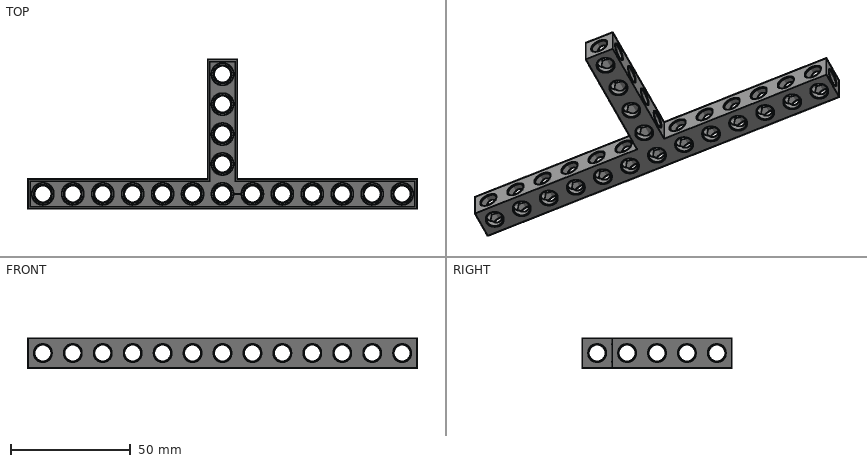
import cadquery as cq

length = 162.5
beam_holes = 13
arm_holes = 4
bore_diameter = 7.0
bore_chamfer = 0.3
rim_width = 1.0
recess_depth = 0.2
collar_diameter = 9.3
rib_width = 0.2

pitch = length / beam_holes
half = pitch / 2
beam_centres = [(column - (beam_holes - 1) / 2) * pitch for column in range(beam_holes)]
arm_centres = [row * pitch for row in range(1, arm_holes + 1)]
arm_end = arm_centres[-1] + half
top_centres = [(x, 0) for x in beam_centres] + [(0, y) for y in arm_centres]
recess_floor = pitch - recess_depth

x_axis = cq.Vector(1, 0, 0)
y_axis = cq.Vector(0, 1, 0)
z_axis = cq.Vector(0, 0, 1)


def tee(height, base, inset=0.0):
    """T-shaped plate standing on Z = base, with its outline moved inward by inset."""
    beam_size = (length - 2 * inset, pitch - 2 * inset)
    arm_size = (pitch - 2 * inset, arm_end + half - 2 * inset)
    arm_middle = (arm_end - half) / 2
    floor = cq.Workplane("XY", origin=(0, 0, base))
    beam = floor.rect(*beam_size).extrude(height)
    arm = floor.center(0, arm_middle).rect(*arm_size).extrude(height)
    return beam.union(arm)


def top_recess():
    """Shallow recess inside the rim, leaving hole collars and the rib that joins two of them."""
    floor = cq.Workplane("XY", origin=(0, 0, recess_floor))
    recess = tee(recess_depth, recess_floor, rim_width)
    collars = floor.pushPoints(top_centres).circle(collar_diameter / 2).extrude(recess_depth)
    rib_length = pitch - bore_diameter
    rib = floor.center(half, 0).rect(rib_length, rib_width).extrude(recess_depth)
    return recess.cut(collars).cut(rib)


def bore(start, direction, depth):
    """Cutter for a through bore of the given depth, with a chamfer at each mouth."""
    radius = bore_diameter / 2
    mouth_radius = radius + bore_chamfer
    end = start + direction * depth
    hole = cq.Solid.makeCylinder(radius, depth, start, direction)
    entry = cq.Solid.makeCone(mouth_radius, radius, bore_chamfer, start, direction)
    exit_mouth = cq.Solid.makeCone(mouth_radius, radius, bore_chamfer, end, direction * -1)
    return [hole, entry, exit_mouth]


cutters = []
for x, y in top_centres:
    cutters += bore(cq.Vector(x, y, 0), z_axis, pitch)
for x in beam_centres:
    depth = arm_end + half if x == 0 else pitch
    cutters += bore(cq.Vector(x, -half, half), y_axis, depth)
cutters += bore(cq.Vector(-length / 2, 0, half), x_axis, length)
for y in arm_centres:
    cutters += bore(cq.Vector(-half, y, half), x_axis, pitch)

result = tee(pitch, 0).cut(top_recess())
for cutter in cutters:
    result = result.cut(cq.Workplane(obj=cutter))